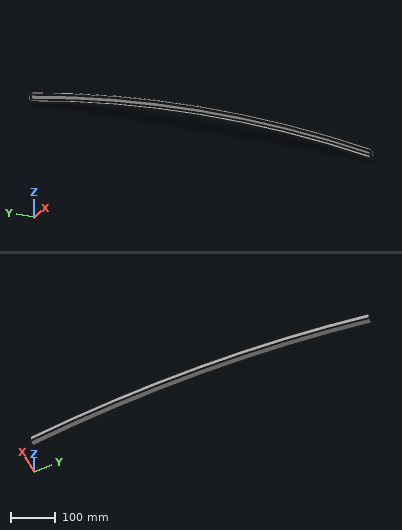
import cadquery as cq

width = 18.0
length = 849.5
total_height = 56.0

bar_depth = 20.0
end_setback = 1.0

wall = 1.9
recess_depth = width - wall

rise = total_height - bar_depth
inner_radius = ((length / 2) ** 2 + rise**2) / (2 * rise)
outer_radius = inner_radius + bar_depth
arc_center_z = total_height / 2 - outer_radius


def arc_height(radius, y):
    """Z of a concentric arc at a given distance along Y."""
    return arc_center_z + (radius**2 - y**2) ** 0.5


def bowed_profile(inset):
    """Arched YZ outline with leaning ends, drawn in from the bar's outline by the inset."""
    low_radius = inner_radius + inset
    high_radius = outer_radius - inset
    low_y = length / 2 - inset
    high_y = low_y - end_setback
    low_z = arc_height(low_radius, low_y)
    high_z = arc_height(high_radius, high_y)
    return (
        cq.Workplane("YZ", origin=(-width / 2, 0, 0))
        .moveTo(-low_y, low_z)
        .threePointArc((0, arc_height(low_radius, 0)), (low_y, low_z))
        .lineTo(high_y, high_z)
        .threePointArc((0, arc_height(high_radius, 0)), (-high_y, high_z))
        .close()
    )


bar = bowed_profile(0).extrude(width)

recess = bowed_profile(wall).extrude(recess_depth)

result = bar.cut(recess)